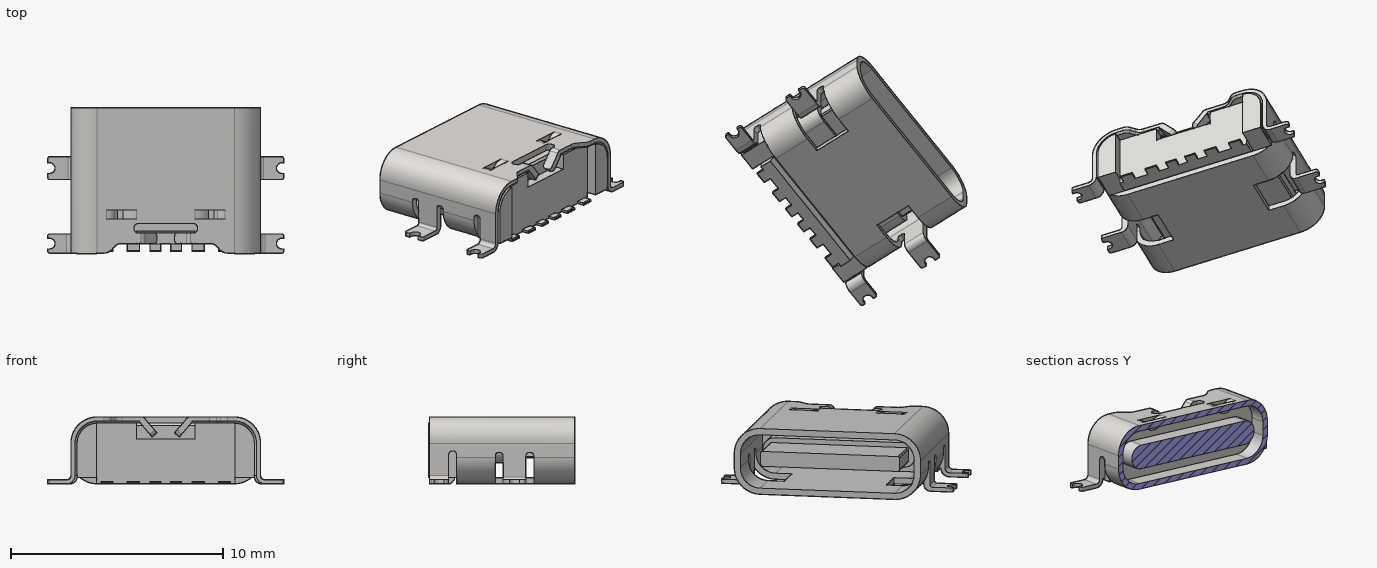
import cadquery as cq
import math

TOTAL_WIDTH = 11.14
TOTAL_DEPTH = 6.9
HEIGHT = 3.16

SHELL_WIDTH = 8.96
SHELL_RADIUS = 1.25
SHEET = 0.3
SHELL_REAR = 0.03
EDGE_CHAMFER = 0.1
CEILING = HEIGHT - SHEET

RECESS_FLOOR = 0.5
RECESS_HALF_WIDTH = 2.25
RECESS_FILLET = 0.48

REAR_LEG = (SHELL_REAR, 0.95)
MIDDLE_LEG = (3.51, 4.59)
WRAP_START = 1.31
MIDDLE_GAP = (3.14, 4.96)
MIDDLE_SLIT_TOP = 1.48
REAR_SLIT_TOP = 1.56
SLIT_CORNER = 0.15
ROUND_END_RATIO = 0.49
FLOOR_CUT_HALF_WIDTH = 2.45
FOOT_THICKNESS = 0.2
REAR_BEND_INNER = 0.2
MIDDLE_BEND_INNER = 0.13
REAR_BEND_TOP = FOOT_THICKNESS + REAR_BEND_INNER
FOOT_CORNER = 0.1
FOOT_NOTCH_RADIUS = 0.25
FOOT_NOTCH_INSET = 0.1

ROOF_SLOT_WIDTH = 3.01
ROOF_SLOT_REAR = 0.98
ROOF_SLOT_FRONT = 1.44
ROOF_SLOT_RADIUS = 0.22
TAB_ROOT = 1.25
TAB_TOP_CORNER = 1.06
TAB_TIP_X = 0.41
TAB_TIP_Z = 2.41
TAB_BEND_RADIUS = 0.26
TAB_TIP_RADIUS = 0.17

DIMPLE_REAR = 1.66
DIMPLE_DEPTH_Y = 0.41
DIMPLE_INNER = 1.38
DIMPLE_BOTTOM_INNER = 2.0
DIMPLE_BOTTOM_OUTER = 2.28
DIMPLE_CREST_OUTER = 2.43
DIMPLE_OUTER = 2.78
DIMPLE_DROP = 0.3
SPRING_THICKNESS = 0.2

HOUSING_FRONT = 1.56
BLOCK_HALF_WIDTH = 3.26
BLOCK_REAR = 0.48
BLOCK_BOTTOM_FRONT = 1.23
BLOCK_CHAMFER = 0.2
POCKET_WIDTH = 2.76
POCKET_FLOOR = 2.13
POCKET_CHAMFER = 0.1
TONGUE_BASE_HALF_WIDTH = 3.68
TONGUE_BASE_HEIGHT = 1.18
TONGUE_BASE_FRONT = 4.01
TONGUE_WIDTH = 6.68
TONGUE_HEIGHT = 0.71
TONGUE_FRONT = 6.24
TONGUE_CHAMFER = 0.07

PIN_REAR = 0.12
PIN_HEIGHT = 0.11
PIN_CHAMFER = 0.05
PIN_CENTRES_AND_WIDTHS = ((0.49, 0.51), (1.53, 0.58), (2.77, 0.58))


def box(x_range, y_range, z_range):
    """Axis-aligned box from pairs of limits."""
    sizes = [abs(b - a) for a, b in (x_range, y_range, z_range)]
    corner = [min(pair) for pair in (x_range, y_range, z_range)]
    return cq.Workplane("XY").box(*sizes, centered=False).translate(tuple(corner))


def profile_plane(y):
    """XZ workplane at depth y whose extrusions run toward +Y for negative lengths."""
    return cq.Workplane("XZ", origin=(0, y, 0))


def tube_body(inset, y_start, y_end):
    """Solid rounded bar: the shell outline moved inward by inset."""
    return (
        profile_plane(y_start)
        .center(0, HEIGHT / 2)
        .rect(SHELL_WIDTH - 2 * inset, HEIGHT - 2 * inset)
        .extrude(y_start - y_end)
        .edges("|Y")
        .fillet(SHELL_RADIUS - inset)
    )


def arch_body(inset, z_bottom, y_start, y_end):
    """Solid bar with a rounded top and straight sides down to z_bottom."""
    top = HEIGHT - inset
    half = SHELL_WIDTH / 2 - inset
    body = box((-half, half), (y_start, y_end), (z_bottom, top))
    return body.edges("|Y and >Z").fillet(SHELL_RADIUS - inset)


def both_sides(right_half):
    """The given +X feature together with its mirror image."""
    return right_half.union(right_half.mirror("YZ"))


def rear_recess():
    """Cutter for the recess with smoothly blended ends in the rear roof edge."""
    shoulder = RECESS_HALF_WIDTH + RECESS_FLOOR - SHELL_REAR
    beyond = SHELL_REAR - SHEET
    wide = SHELL_WIDTH / 2
    blended_corners = cq.selectors.BoxSelector(
        (-wide + SHEET, 0, 0), (wide - SHEET, TOTAL_DEPTH, 2 * HEIGHT)
    )
    return (
        cq.Workplane("XY", origin=(0, 0, HEIGHT / 2))
        .moveTo(-wide, beyond)
        .lineTo(wide, beyond)
        .lineTo(wide, SHELL_REAR)
        .lineTo(shoulder, SHELL_REAR)
        .lineTo(RECESS_HALF_WIDTH, RECESS_FLOOR)
        .lineTo(-RECESS_HALF_WIDTH, RECESS_FLOOR)
        .lineTo(-shoulder, SHELL_REAR)
        .lineTo(-wide, SHELL_REAR)
        .close()
        .extrude(HEIGHT)
        .edges(blended_corners)
        .edges("|Z")
        .fillet(RECESS_FILLET)
    )


def is_inner_rear_edge(edge):
    """True for edges of the rear opening that lie on the inside of the sheet."""
    bounds = edge.BoundingBox()
    middle = edge.positionAt(0.5)
    tolerance = 0.001
    if bounds.ymax > RECESS_FLOOR + tolerance or middle.z < REAR_BEND_TOP + tolerance:
        return False
    corner_centre = SHELL_WIDTH / 2 - SHELL_RADIUS
    over = max(abs(middle.x) - corner_centre, 0)
    up = max(middle.z - (HEIGHT - SHELL_RADIUS), 0)
    return abs(math.hypot(over, up) - (SHELL_RADIUS - SHEET)) < tolerance


def shell_tube():
    """Open arch at the rear joined to the fully wrapped tube."""
    rear = arch_body(0, REAR_BEND_TOP, SHELL_REAR, WRAP_START)
    rear = rear.cut(arch_body(SHEET, REAR_BEND_TOP, SHELL_REAR, WRAP_START))
    rear = rear.cut(rear_recess())
    chamfered = rear.val().chamfer(
        EDGE_CHAMFER, None, [e for e in rear.val().Edges() if is_inner_rear_edge(e)]
    )
    wrapped = tube_body(0, WRAP_START, TOTAL_DEPTH).cut(tube_body(SHEET, WRAP_START, TOTAL_DEPTH))
    return cq.Workplane(chamfered).union(wrapped)


def slit(y_range, z_top, radius):
    """Cutter through the right wall, open at the bottom, with rounded upper corners."""
    cutter = box((FLOOR_CUT_HALF_WIDTH, TOTAL_WIDTH / 2), y_range, (0, z_top))
    return cutter.edges("|X and >Z").fillet(radius)


def leg_slits():
    """Gaps that separate the right-hand legs from the wrapped shell."""
    leg_rear, leg_front = MIDDLE_LEG
    gap_rear, gap_front = MIDDLE_GAP
    rear_slit = (REAR_LEG[1], WRAP_START)
    rear_radius = ROUND_END_RATIO * (rear_slit[1] - rear_slit[0])
    cutter = slit(rear_slit, REAR_SLIT_TOP, rear_radius)
    cutter = cutter.union(slit((gap_rear, leg_rear), MIDDLE_SLIT_TOP, SLIT_CORNER))
    cutter = cutter.union(slit((leg_front, gap_front), MIDDLE_SLIT_TOP, SLIT_CORNER))
    opening = box((FLOOR_CUT_HALF_WIDTH, TOTAL_WIDTH / 2), MIDDLE_LEG, (0, SHELL_RADIUS))
    return cutter.union(opening)


def leg(y_range, wall_thickness, inner_radius):
    """Right-hand leg: straight wall, outward bend and a foot with a round solder notch."""
    y_rear, y_front = y_range
    y_middle = (y_front + y_rear) / 2
    outer_face = SHELL_WIDTH / 2
    inner_face = outer_face - wall_thickness
    tip = TOTAL_WIDTH / 2
    outer_radius = FOOT_THICKNESS + inner_radius
    inner_centre_x = outer_face + inner_radius
    outer_centre_x = inner_face + outer_radius
    bend_z = outer_radius
    inner_reach = inner_radius * math.sqrt(0.5)
    outer_reach = outer_radius * math.sqrt(0.5)
    wall = box((inner_face, outer_face), y_range, (bend_z, SHELL_RADIUS))
    bend_and_foot = (
        profile_plane(y_rear)
        .moveTo(inner_face, bend_z)
        .threePointArc((outer_centre_x - outer_reach, bend_z - outer_reach), (outer_centre_x, 0))
        .lineTo(tip, 0)
        .lineTo(tip, FOOT_THICKNESS)
        .lineTo(inner_centre_x, FOOT_THICKNESS)
        .threePointArc((inner_centre_x - inner_reach, bend_z - inner_reach), (outer_face, bend_z))
        .close()
        .extrude(y_rear - y_front)
        .edges("|Z and >X")
        .fillet(FOOT_CORNER)
    )
    notch = (
        cq.Workplane("XY")
        .center(tip - FOOT_NOTCH_INSET, y_middle)
        .circle(FOOT_NOTCH_RADIUS)
        .extrude(FOOT_THICKNESS)
    )
    throat = box(
        (tip - FOOT_NOTCH_INSET, tip),
        (y_middle - FOOT_NOTCH_RADIUS, y_middle + FOOT_NOTCH_RADIUS),
        (0, FOOT_THICKNESS),
    )
    foot = bend_and_foot.cut(notch).cut(throat)
    return foot.union(wall)


def roof_opening():
    """Slot across the roof, opened to the rear between the latch tabs."""
    slot = box(
        (-ROOF_SLOT_WIDTH / 2, ROOF_SLOT_WIDTH / 2),
        (ROOF_SLOT_REAR, ROOF_SLOT_FRONT),
        (CEILING, HEIGHT),
    )
    slot = slot.edges("|Z").fillet(ROOF_SLOT_RADIUS)
    gap = box((-TAB_ROOT, TAB_ROOT), (0, ROOF_SLOT_FRONT - ROOF_SLOT_RADIUS), (CEILING, HEIGHT))
    return slot.union(gap)


def latch_tab():
    """Right-hand strip of roof bent down toward the centre, with a rounded tip."""
    run = TAB_TOP_CORNER - TAB_TIP_X
    drop = HEIGHT - TAB_TIP_Z
    slope = math.atan2(drop, run)
    under_x = TAB_TIP_X + SHEET * math.sin(slope)
    under_z = TAB_TIP_Z - SHEET * math.cos(slope)
    bottom_corner = TAB_TOP_CORNER + SHEET * math.tan(slope / 2)
    tab = (
        profile_plane(RECESS_FLOOR)
        .moveTo(TAB_ROOT, HEIGHT)
        .lineTo(TAB_TOP_CORNER, HEIGHT)
        .lineTo(TAB_TIP_X, TAB_TIP_Z)
        .lineTo(under_x, under_z)
        .lineTo(bottom_corner, CEILING)
        .lineTo(TAB_ROOT, CEILING)
        .close()
        .extrude(RECESS_FLOOR - ROOF_SLOT_REAR)
    )
    tip_x = (TAB_TIP_X + under_x) / 2
    tip_z = (TAB_TIP_Z + under_z) / 2
    reach = SHEET / 10
    tip_edges = cq.selectors.BoxSelector(
        (tip_x - reach, 0, tip_z - reach), (tip_x + reach, ROOF_SLOT_FRONT, tip_z + reach)
    )
    tab = tab.edges("not |Y").edges(tip_edges).fillet(TAB_TIP_RADIUS)
    bend_edge = cq.selectors.NearestToPointSelector(
        (TAB_TOP_CORNER, (RECESS_FLOOR + ROOF_SLOT_REAR) / 2, HEIGHT)
    )
    return tab.edges("|Y").edges(bend_edge).fillet(TAB_BEND_RADIUS)


def dimple_window():
    """Right-hand rectangular window in the roof that frames a spring strip."""
    return box(
        (DIMPLE_INNER, DIMPLE_OUTER),
        (DIMPLE_REAR, DIMPLE_REAR + DIMPLE_DEPTH_Y),
        (CEILING, HEIGHT),
    )


def spring_strip():
    """Right-hand strip that dips below the roof between its two rooted ends."""
    low = HEIGHT - DIMPLE_DROP
    crest_drop = DIMPLE_DROP / 2

    def crest_radius(run, drop):
        """Radius of an arc that leaves the roof level and falls by drop over run."""
        return (run**2 + drop**2) / (2 * drop)

    inner_radius = crest_radius(DIMPLE_BOTTOM_INNER - DIMPLE_INNER, DIMPLE_DROP)
    outer_radius = crest_radius(DIMPLE_OUTER - DIMPLE_CREST_OUTER, crest_drop)
    return (
        profile_plane(DIMPLE_REAR)
        .moveTo(DIMPLE_INNER, HEIGHT)
        .radiusArc((DIMPLE_BOTTOM_INNER, low), inner_radius)
        .lineTo(DIMPLE_BOTTOM_OUTER, low)
        .lineTo(DIMPLE_CREST_OUTER, HEIGHT - crest_drop)
        .radiusArc((DIMPLE_OUTER, HEIGHT), outer_radius)
        .lineTo(DIMPLE_OUTER, HEIGHT - SPRING_THICKNESS)
        .lineTo(DIMPLE_BOTTOM_OUTER, low - SPRING_THICKNESS)
        .lineTo(DIMPLE_BOTTOM_INNER, low - SPRING_THICKNESS)
        .lineTo(DIMPLE_INNER, HEIGHT - SPRING_THICKNESS)
        .close()
        .extrude(-DIMPLE_DEPTH_Y)
    )


def housing():
    """Insulator: rear block between two side cheeks, with the pocket for the latch tabs."""
    cheeks = arch_body(SHEET, SHEET, 0, WRAP_START)
    recess = box((-BLOCK_HALF_WIDTH, BLOCK_HALF_WIDTH), (0, BLOCK_REAR), (0, HEIGHT))
    plug = tube_body(SHEET, WRAP_START, HOUSING_FRONT)
    base = box((-BLOCK_HALF_WIDTH, BLOCK_HALF_WIDTH), (BLOCK_REAR, BLOCK_BOTTOM_FRONT), (0, CEILING))
    base = base.edges("|X and >Y and <Z").chamfer(BLOCK_CHAMFER)
    body = cheeks.cut(recess).union(plug).union(base)
    pocket = box(
        (-POCKET_WIDTH / 2, POCKET_WIDTH / 2), (BLOCK_REAR, ROOF_SLOT_REAR), (POCKET_FLOOR, CEILING)
    )
    bevel = (
        cq.Workplane("YZ", origin=(-POCKET_WIDTH / 2, 0, 0))
        .moveTo(ROOF_SLOT_REAR, CEILING)
        .lineTo(ROOF_SLOT_REAR + POCKET_CHAMFER, CEILING)
        .lineTo(ROOF_SLOT_REAR, CEILING - POCKET_CHAMFER)
        .close()
        .extrude(POCKET_WIDTH)
    )
    return body.cut(pocket).cut(bevel)


def tongue():
    """Contact tongue on a thicker root with fully rounded ends."""
    root = (
        profile_plane(HOUSING_FRONT)
        .center(0, HEIGHT / 2)
        .slot2D(2 * TONGUE_BASE_HALF_WIDTH, TONGUE_BASE_HEIGHT)
        .extrude(HOUSING_FRONT - TONGUE_BASE_FRONT)
    )
    blade = (
        profile_plane(TONGUE_BASE_FRONT)
        .center(0, HEIGHT / 2)
        .rect(TONGUE_WIDTH, TONGUE_HEIGHT)
        .extrude(TONGUE_BASE_FRONT - TONGUE_FRONT)
        .edges("|Y")
        .chamfer(TONGUE_CHAMFER)
    )
    return root.union(blade)


def pins():
    """Right-hand solder tails that stick out behind the block."""
    tails = cq.Workplane("XY")
    for centre, width in PIN_CENTRES_AND_WIDTHS:
        tail = box(
            (centre - width / 2, centre + width / 2), (PIN_REAR, BLOCK_REAR), (0, PIN_HEIGHT)
        )
        tails = tails.add(tail.edges("|X and <Y and >Z").chamfer(PIN_CHAMFER))
    return tails.combine()


shell = shell_tube().cut(both_sides(leg_slits()))
shell = shell.cut(roof_opening()).cut(both_sides(dimple_window()))
shell = shell.union(both_sides(leg(REAR_LEG, FOOT_THICKNESS, REAR_BEND_INNER)))
shell = shell.union(both_sides(leg(MIDDLE_LEG, SHEET, MIDDLE_BEND_INNER)))
shell = shell.union(both_sides(latch_tab())).union(both_sides(spring_strip()))

result = shell.union(housing()).union(tongue()).union(both_sides(pins()))